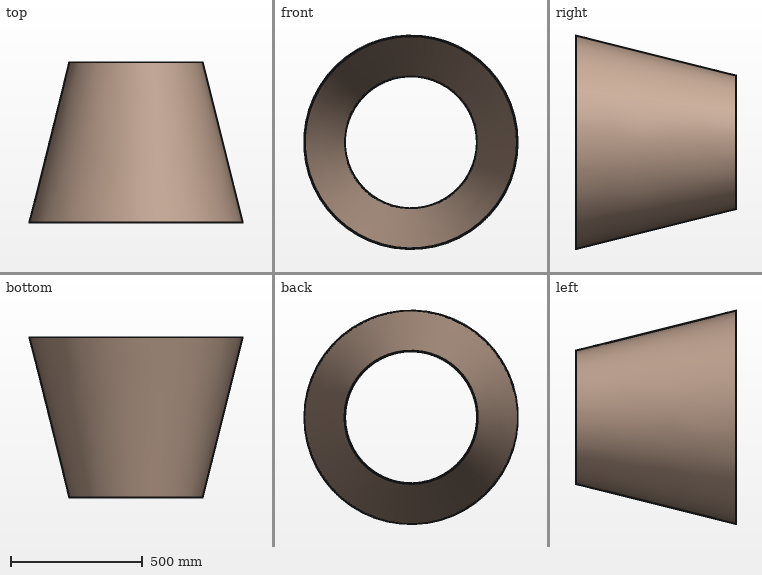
import cadquery as cq

large_diameter = 813.0
small_diameter = 508.0
length = 610.0
wall = 4.0

large_radius = large_diameter / 2
small_radius = small_diameter / 2

wall_section = (
    cq.Workplane("XY")
    .moveTo(large_radius - wall, 0)
    .lineTo(large_radius, 0)
    .lineTo(small_radius, length)
    .lineTo(small_radius - wall, length)
    .close()
)

result = wall_section.revolve(360, (0, 0, 0), (0, 1, 0))